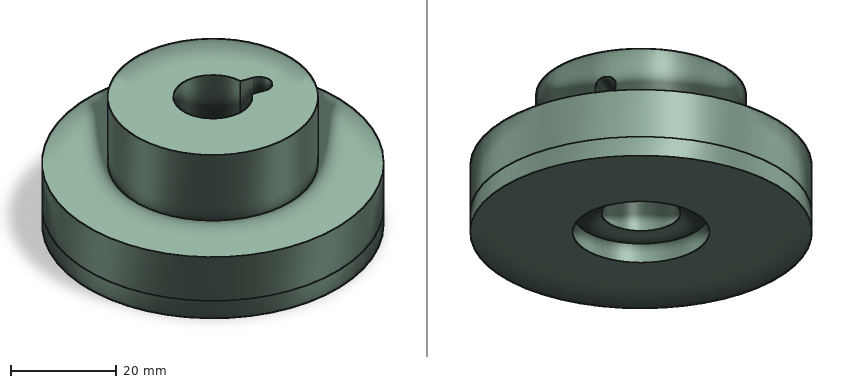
import cadquery as cq

outer_diameter = 65.0
ring_thickness = 4.0
ring_bore_diameter = 26.0
flange_thickness = 10.0
hub_diameter = 40.0
hub_length = 15.0
bore_diameter = 15.0
keyway_width = 5.0
keyway_end_offset = 9.8
set_screw_diameter = 4.2

flange_bottom = ring_thickness
flange_top = flange_bottom + flange_thickness
set_screw_height = flange_top + hub_length / 2


def make_keyed_bore():
    """Cutter for the round bore and its round-ended keyway on the +Y side."""
    depth = flange_thickness + hub_length
    base = cq.Workplane("XY").workplane(offset=flange_bottom)
    bore = base.circle(bore_diameter / 2).extrude(depth)
    keyway = (
        base.center(0, keyway_end_offset / 2)
        .slot2D(keyway_end_offset + keyway_width, keyway_width, 90)
        .extrude(depth)
    )
    return bore.union(keyway)


def make_set_screw_hole():
    """Cutter for the radial hole from the bore axis out through the hub's +Y side."""
    return (
        cq.Workplane("XZ", origin=(0, 0, set_screw_height))
        .circle(set_screw_diameter / 2)
        .extrude(-hub_diameter / 2)
    )


def make_flanged_hub():
    """Flange and hub in one piece, with the keyed bore and the set screw hole."""
    flange = (
        cq.Workplane("XY")
        .workplane(offset=flange_bottom)
        .circle(outer_diameter / 2)
        .extrude(flange_thickness)
    )
    hub = (
        cq.Workplane("XY")
        .workplane(offset=flange_top)
        .circle(hub_diameter / 2)
        .extrude(hub_length)
    )
    return flange.union(hub).cut(make_keyed_bore()).cut(make_set_screw_hole())


def make_facing_ring():
    """Flat ring under the flange; its opening clears the bore and keyway."""
    return (
        cq.Workplane("XY")
        .circle(outer_diameter / 2)
        .circle(ring_bore_diameter / 2)
        .extrude(ring_thickness)
    )


flanged_hub = make_flanged_hub()
facing_ring = make_facing_ring()

result = cq.Compound.makeCompound([flanged_hub.val(), facing_ring.val()])